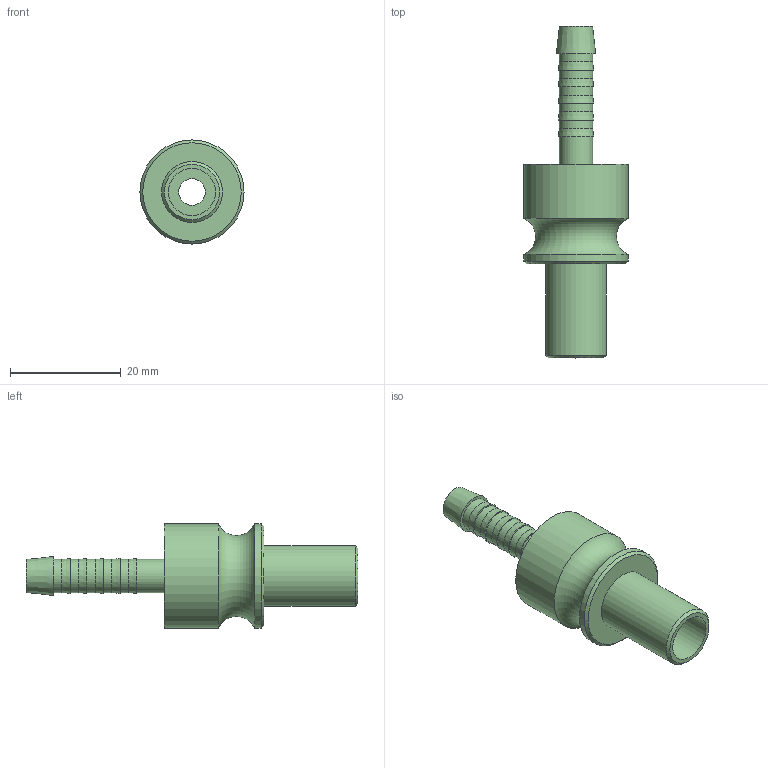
import cadquery as cq


tube_length = 17.0
flange_width = 1.7
groove_width = 6.5
body_length = 18.0
stem_length = 25.0
overall_length = tube_length + body_length + stem_length

body_diameter = 18.8
groove_diameter = 14.6
tube_diameter = 11.0
tube_bore_diameter = 8.5
stem_diameter = 6.0
stem_bore_diameter = 4.8
barb_diameter = 6.4
tip_barb_diameter = 7.1

edge_chamfer = 0.5
tip_barb_length = 5.0
barb_count = 5
barb_pitch = 3.0
barb_length = barb_pitch / 2

tube_end = -overall_length / 2
flange_face = tube_end + tube_length
groove_start = flange_face + flange_width
groove_end = groove_start + groove_width
body_end = flange_face + body_length
stem_tip = body_end + stem_length


def cylinder(diameter, start, end):
    """Cylinder on the Y axis between two Y positions."""
    base = cq.Workplane("XZ", origin=(0, start, 0))
    return base.circle(diameter / 2).extrude(start - end)


def revolve_profile(profile):
    """Turn a closed profile, with X as radius, about the Y axis."""
    return profile.close().revolve(360, (0, 0, 0), (0, 1, 0))


def make_tube():
    tube = cylinder(tube_diameter, tube_end, flange_face)
    return tube.faces("<Y").edges().chamfer(edge_chamfer)


def make_body():
    """Round body with a chamfered flange and a concave arc groove."""
    body = cylinder(body_diameter, flange_face, body_end)
    body = body.faces("<Y").edges().chamfer(edge_chamfer)
    radius = body_diameter / 2
    groove_middle = (groove_start + groove_end) / 2
    groove = (
        cq.Workplane("XY")
        .moveTo(radius, groove_start)
        .threePointArc((groove_diameter / 2, groove_middle), (radius, groove_end))
    )
    return body.cut(revolve_profile(groove))


def make_barb(base_end, length, base_diameter):
    """Cone, widest at base_end, that narrows to the stem diameter toward +Y."""
    cone = (
        cq.Workplane("XY")
        .moveTo(0, base_end)
        .lineTo(base_diameter / 2, base_end)
        .lineTo(stem_diameter / 2, base_end + length)
        .lineTo(0, base_end + length)
    )
    return revolve_profile(cone)


def make_stem():
    """Hose stem with a large tip barb followed by a row of small barbs."""
    tip_base = stem_tip - tip_barb_length
    stem = cylinder(stem_diameter, body_end, stem_tip)
    stem = stem.union(make_barb(tip_base, tip_barb_length, tip_barb_diameter))
    for index in range(barb_count):
        barb_base = tip_base - (index + 1) * barb_pitch
        stem = stem.union(make_barb(barb_base, barb_length, barb_diameter))
    return stem


def make_bore():
    """Wide bore along the tube, then a narrow bore through to the stem tip."""
    tube_bore = cylinder(tube_bore_diameter, tube_end, flange_face)
    return tube_bore.union(cylinder(stem_bore_diameter, tube_end, stem_tip))


result = make_body().union(make_tube()).union(make_stem()).cut(make_bore())